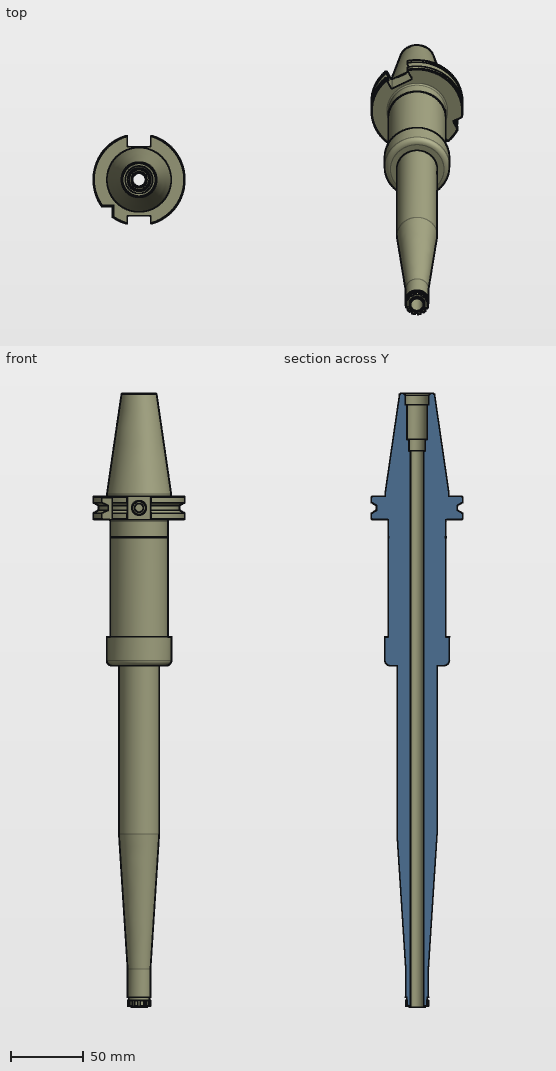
import cadquery as cq
import math


OVERALL_LENGTH = 424.25
BEVEL_ANGLE = 45

TAPER_RATIO = 7 / 24
GAUGE_DIAMETER = 44.45
SHANK_LENGTH = 69.4
SHANK_EDGE = 0.8

FLANGE_DIAMETER = 63.35
FLANGE_TOP_Z = -1.8
FLANGE_BOTTOM_Z = -18.0
FLANGE_EDGE = 0.6
FLANGE_ROOT_ROUND = 1.0
GROOVE_Z = (FLANGE_TOP_Z + FLANGE_BOTTOM_Z) / 2
GROOVE_FLOOR_DIAMETER = 56.25
GROOVE_FLOOR_WIDTH = 3.2
GROOVE_FLANK_ANGLE = 30

KEYWAY_WIDTH = 16.1
KEYWAY_FRONT_WALL_Y = 25.0
KEYWAY_BACK_WALL_Y = 22.8
KEYWAY_EDGE = 0.5
KEYWAY_CORNER_RADIUS = 0.7
NOTCH_X = 18.5
NOTCH_Y = 18.5
NOTCH_EDGE = 1.0

CHIP_MOUTH_DIAMETER = 10.0
CHIP_BORE_DIAMETER = 9.0
CHIP_BORE_DEPTH = 4.6
CHIP_PILOT_DIAMETER = 6.0
CHIP_PILOT_DEPTH = 2.0

BODY_DIAMETER = 40.0
BODY_SEAM_DIAMETER = 39.6
BODY_SEAM_Z = -30.0
BODY_SEAM_WIDTH = 0.4
COLLAR_DIAMETER = 45.0
COLLAR_TOP_Z = -99.0
COLLAR_BOTTOM_Z = -119.0
COLLAR_ROUND = 4.0

TUBE_DIAMETER = 28.0
TUBE_BOTTOM_Z = -235.0
TIP_DIAMETER = 16.0
TIP_TOP_Z = -328.0
TIP_BOTTOM_Z = -348.0

NECK_DIAMETER = 14.5
NUT_DIAMETER = 16.0
NUT_TOP_Z = -349.8
NUT_BOTTOM_Z = -354.0
NUT_EDGE = 0.3
NOSE_DIAMETER = 11.0
NOSE_BOTTOM_Z = SHANK_LENGTH - OVERALL_LENGTH
NUT_SLOT_COUNT = 12
NUT_SLOT_WIDTH = 2.0
NUT_SLOT_DEPTH = 1.0

PULL_STUD_BORE_DIAMETER = 16.0
MOUTH_DIAMETER = 19.0
PULL_STUD_BORE_DEPTH = 8.0
THREAD_DIAMETER = 13.84
THREAD_DEPTH = 32.0
STEP_BORE_DIAMETER = 11.0
STEP_BORE_DEPTH = 40.0
THROUGH_BORE_DIAMETER = 9.0


def cylinder(diameter, top_z, bottom_z):
    return cq.Workplane("XY", origin=(0, 0, bottom_z)).circle(diameter / 2).extrude(top_z - bottom_z)


def revolve_profile(points):
    return cq.Workplane("XZ").polyline(points).close().revolve(360, (0, 0, 0), (0, 1, 0))


def make_shank():
    gauge_radius = GAUGE_DIAMETER / 2
    top_radius = gauge_radius - SHANK_LENGTH * TAPER_RATIO / 2
    shank = revolve_profile([
        (0, SHANK_LENGTH),
        (top_radius, SHANK_LENGTH),
        (gauge_radius, 0),
        (gauge_radius, FLANGE_TOP_Z),
        (0, FLANGE_TOP_Z),
    ])
    return shank.faces(">Z").chamfer(SHANK_EDGE)


def make_flange():
    flange = cylinder(FLANGE_DIAMETER, FLANGE_TOP_Z, FLANGE_BOTTOM_Z).edges().chamfer(FLANGE_EDGE)
    rim_radius = FLANGE_DIAMETER / 2
    floor_radius = GROOVE_FLOOR_DIAMETER / 2
    half_floor = GROOVE_FLOOR_WIDTH / 2
    half_rim = half_floor + (rim_radius - floor_radius) * math.tan(math.radians(GROOVE_FLANK_ANGLE))
    groove = revolve_profile([
        (floor_radius, GROOVE_Z - half_floor),
        (rim_radius, GROOVE_Z - half_rim),
        (rim_radius, GROOVE_Z + half_rim),
        (floor_radius, GROOVE_Z + half_floor),
    ])
    return flange.cut(groove)


def make_keyway(wall_y, outward):
    """Keyway outward from wall_y along Y, flared where its side walls meet the flange rim."""
    half_width = KEYWAY_WIDTH / 2
    half_mouth = half_width + KEYWAY_EDGE
    mouth_y = math.sqrt((FLANGE_DIAMETER / 2) ** 2 - half_mouth ** 2)
    flare_y = mouth_y - KEYWAY_EDGE
    outline = [
        (-half_width, wall_y),
        (-half_width, flare_y),
        (-half_mouth, mouth_y),
        (-half_mouth, FLANGE_DIAMETER),
        (half_mouth, FLANGE_DIAMETER),
        (half_mouth, mouth_y),
        (half_width, flare_y),
        (half_width, wall_y),
    ]
    points = [(x, outward * y) for x, y in outline]
    floor = cq.Workplane("XY", origin=(0, 0, FLANGE_BOTTOM_Z))
    keyway = floor.polyline(points).close().extrude(FLANGE_TOP_Z - FLANGE_BOTTOM_Z)
    inner_corners = keyway.faces("<Y" if outward > 0 else ">Y").edges("|Z")
    return inner_corners.fillet(KEYWAY_CORNER_RADIUS)


def make_notch():
    """Corner notch with its two upper edges beveled."""
    size = FLANGE_DIAMETER
    height = FLANGE_TOP_Z - FLANGE_BOTTOM_Z
    notch = cq.Workplane("XY").box(size, size, height, centered=False)
    notch = notch.translate((-NOTCH_X - size, -NOTCH_Y - size, FLANGE_BOTTOM_Z))
    bevel = (
        cq.Workplane("XY", origin=(0, 0, FLANGE_TOP_Z))
        .center(-NOTCH_X - size / 2, -NOTCH_Y - size / 2)
        .rect(size + 2 * NOTCH_EDGE, size + 2 * NOTCH_EDGE)
        .extrude(-NOTCH_EDGE, taper=BEVEL_ANGLE)
    )
    return notch.union(bevel)


def cut_flange_slots(flange):
    front_keyway = make_keyway(KEYWAY_FRONT_WALL_Y, -1)
    back_keyway = make_keyway(KEYWAY_BACK_WALL_Y, 1)
    return flange.cut(front_keyway).cut(back_keyway).cut(make_notch())


def make_chip_bore():
    floor = cq.Workplane("XZ", origin=(0, -KEYWAY_FRONT_WALL_Y, GROOVE_Z))
    mouth_depth = (CHIP_MOUTH_DIAMETER - CHIP_BORE_DIAMETER) / 2
    mouth = floor.circle(CHIP_MOUTH_DIAMETER / 2).extrude(-mouth_depth, taper=BEVEL_ANGLE)
    bore = floor.circle(CHIP_BORE_DIAMETER / 2).extrude(-CHIP_BORE_DEPTH)
    pilot = floor.circle(CHIP_PILOT_DIAMETER / 2).extrude(-CHIP_BORE_DEPTH - CHIP_PILOT_DEPTH)
    return mouth.union(bore).union(pilot)


def make_root_round():
    """Fillet ring between the flange underside and the body."""
    body_radius = BODY_DIAMETER / 2
    ring_radius = body_radius + FLANGE_ROOT_ROUND
    bottom_z = FLANGE_BOTTOM_Z - FLANGE_ROOT_ROUND
    middle = FLANGE_ROOT_ROUND * (1 - math.sqrt(0.5))
    return (
        cq.Workplane("XZ")
        .moveTo(0, FLANGE_BOTTOM_Z)
        .lineTo(ring_radius, FLANGE_BOTTOM_Z)
        .threePointArc((body_radius + middle, FLANGE_BOTTOM_Z - middle), (body_radius, bottom_z))
        .lineTo(0, bottom_z)
        .close()
        .revolve(360, (0, 0, 0), (0, 1, 0))
    )


def make_body():
    body = cylinder(BODY_DIAMETER, FLANGE_BOTTOM_Z, COLLAR_TOP_Z).union(make_root_round())
    seam = cylinder(BODY_DIAMETER, BODY_SEAM_Z, BODY_SEAM_Z - BODY_SEAM_WIDTH).cut(
        cylinder(BODY_SEAM_DIAMETER, BODY_SEAM_Z, BODY_SEAM_Z - BODY_SEAM_WIDTH)
    )
    collar = cylinder(COLLAR_DIAMETER, COLLAR_TOP_Z, COLLAR_BOTTOM_Z)
    collar = collar.faces("<Z").edges().fillet(COLLAR_ROUND)
    return body.cut(seam).union(collar)


def make_extension():
    return revolve_profile([
        (0, COLLAR_BOTTOM_Z),
        (TUBE_DIAMETER / 2, COLLAR_BOTTOM_Z),
        (TUBE_DIAMETER / 2, TUBE_BOTTOM_Z),
        (TIP_DIAMETER / 2, TIP_TOP_Z),
        (TIP_DIAMETER / 2, TIP_BOTTOM_Z),
        (0, TIP_BOTTOM_Z),
    ])


def make_nut():
    neck = cylinder(NECK_DIAMETER, TIP_BOTTOM_Z, NUT_TOP_Z)
    ring = cylinder(NUT_DIAMETER, NUT_TOP_Z, NUT_BOTTOM_Z).edges().chamfer(NUT_EDGE)
    nose = cylinder(NOSE_DIAMETER, NUT_BOTTOM_Z, NOSE_BOTTOM_Z)
    slot = (
        cq.Workplane("XY")
        .box(2 * NUT_SLOT_DEPTH, NUT_SLOT_WIDTH, NUT_TOP_Z - NUT_BOTTOM_Z, centered=(True, True, False))
        .translate((NUT_DIAMETER / 2, 0, NUT_BOTTOM_Z))
    )
    for index in range(NUT_SLOT_COUNT):
        ring = ring.cut(slot.rotate((0, 0, 0), (0, 0, 1), index * 360 / NUT_SLOT_COUNT))
    return neck.union(ring).union(nose)


def make_axial_bore():
    through = cylinder(THROUGH_BORE_DIAMETER, SHANK_LENGTH, NOSE_BOTTOM_Z)
    thread = cylinder(THREAD_DIAMETER, SHANK_LENGTH, SHANK_LENGTH - THREAD_DEPTH)
    step = cylinder(STEP_BORE_DIAMETER, SHANK_LENGTH, SHANK_LENGTH - STEP_BORE_DEPTH)
    guide = cylinder(PULL_STUD_BORE_DIAMETER, SHANK_LENGTH, SHANK_LENGTH - PULL_STUD_BORE_DEPTH)
    mouth_depth = (MOUTH_DIAMETER - PULL_STUD_BORE_DIAMETER) / 2
    top = cq.Workplane("XY", origin=(0, 0, SHANK_LENGTH))
    mouth = top.circle(MOUTH_DIAMETER / 2).extrude(-mouth_depth, taper=BEVEL_ANGLE)
    return through.union(step).union(thread).union(guide).union(mouth)


flange = cut_flange_slots(make_flange())
holder = make_shank().union(flange).union(make_body()).union(make_extension()).union(make_nut())
result = holder.cut(make_chip_bore()).cut(make_axial_bore())